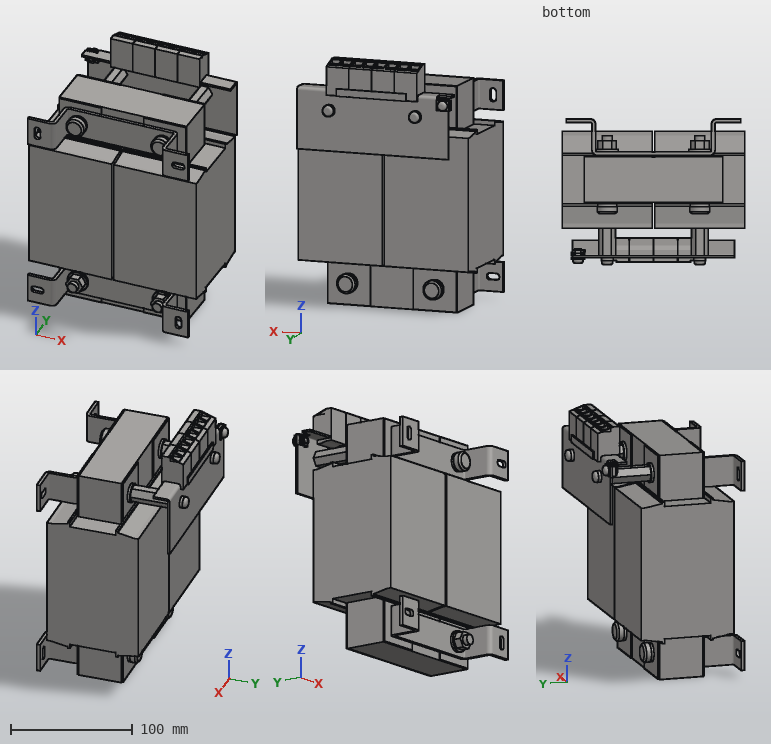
import cadquery as cq
import math


yoke_length = 114.0
yoke_depth = 37.4
yoke_height = 38.9
core_height = 190.0
cheek_length = yoke_length / 3
cheek_thickness = 1.3
cheek_inset = 0.5
cheek_face = yoke_depth / 2 + cheek_thickness

coil_span = 150.0
coil_gap = 2.0
coil_depth = 79.9
coil_shoulder = 36.1
ridge_foot = 21.9
ridge_rise = 2.5
lip_rise = 3.8

bolt_offset = 38.0
lower_bolt_z = 19.0
upper_bolt_z = core_height - lower_bolt_z
washer_radius = 7.9
washer_thickness = 2.1
head_radius = 8.0
front_head_height = 6.5
rear_head_height = 6.0
head_chamfer = 1.7
flange_radius = 9.0
nut_flats = 13.2
nut_height = 6.8
stud_radius = 4.2
stud_reach = 4.2

sheet = 3.0
bracket_span = 143.6
bracket_height = 24.9
bracket_depth = 30.0
leg_span = 101.1
inner_bend = 1.3
outer_bend = inner_bend + sheet
slot_length = 11.3
slot_width = 5.5
slot_offset = 63.0
foot_face = -(cheek_face + bracket_depth)

spacer_radius = 8.0
standoff_flats = 12.1
plate_span = 133.2
plate_thickness = 1.7
plate_inner_bend = 1.0
plate_rear = 64.2
plate_bottom = 136.8
plate_top = 188.9
flange_front = 49.7
screw_washer_radius = 4.9
screw_washer_thickness = 2.5
screw_head_radius = 4.7
screw_tip = 70.0

terminal_count = 4
terminal_pitch = 20.0
terminal_gap = 0.2
terminal_front = 47.8
terminal_rear = 66.5
terminal_ridge = 53.5
terminal_base = 185.0
terminal_step = 54.0
terminal_heel_front = 57.8
terminal_heel = 184.0
terminal_back_top = 207.8
terminal_top = 212.5
entry_width = 8.0
entry_spacing = 9.8
entry_front = 55.0
entry_rear = 62.5
entry_floor = 208.6
lip_length = 61.2
lip_thickness = 1.3
lip_bottom = 184.0
lip_top = 190.2

clamp_x = -62.0
clamp_z = 181.9
clamp_width = 11.3
clamp_height = 8.3
clamp_wall = 1.0
notch_front = 57.5
clamp_front = 59.5
clamp_nut_thickness = 1.7
clamp_nut_flats = 8.3
clamp_screw_radius = 2.5
clamp_screw_front = 57.0
clamp_washer_thickness = 1.0
clamp_head_radius = 4.2
clamp_head_tip = 68.8


def box(x_range, y_range, z_range):
    """Block between the given limits on each axis."""
    (x0, x1), (y0, y1), (z0, z1) = x_range, y_range, z_range
    return cq.Workplane("XY").box(x1 - x0, y1 - y0, z1 - z0, centered=False).translate((x0, y0, z0))


def rear_plane(x, y, z):
    """Plane whose normal points to the rear (+Y)."""
    return cq.Workplane(cq.Plane(origin=(x, y, z), xDir=(1, 0, 0), normal=(0, 1, 0)))


def front_plane(x, y, z):
    """Plane whose normal points to the front (-Y)."""
    return cq.Workplane(cq.Plane(origin=(x, y, z), xDir=(1, 0, 0), normal=(0, -1, 0)))


def extrude_along_x(points, x_start, length):
    """Prism along +X from an outline of (y, z) points."""
    return cq.Workplane("YZ").polyline(points).close().extrude(length).translate((x_start, 0, 0))


def across_corners(flats):
    """Corner-to-corner width of a hexagon with the given width across flats."""
    return flats / math.cos(math.pi / 6)


def make_yoke(bottom):
    """Yoke with raised cheeks near both ends, set in slightly from its outer edges."""
    top = bottom + yoke_height
    end = yoke_length / 2
    yoke = box((-end, end), (-yoke_depth / 2, yoke_depth / 2), (bottom, top))
    cheek_z = (bottom + cheek_inset, top - cheek_inset)
    outer = end - cheek_inset
    inner = end - cheek_length
    for cheek_x in ((-outer, -inner), (inner, outer)):
        yoke = yoke.union(box(cheek_x, (-cheek_face, cheek_face), cheek_z))
    return yoke


def make_coil(x_start):
    """One coil; both ends have sloped ridges that flank a channel for the yoke."""
    half = coil_depth / 2
    top = core_height - yoke_height
    corner_profile = [
        (half, top),
        (coil_shoulder, top),
        (ridge_foot, top + ridge_rise),
        (ridge_foot, top + lip_rise),
        (cheek_face, top + lip_rise),
        (cheek_face, top),
    ]
    upper = corner_profile + [(-y, z) for y, z in reversed(corner_profile)]
    lower = [(y, core_height - z) for y, z in reversed(upper)]
    return extrude_along_x(upper + lower, x_start, (coil_span - coil_gap) / 2)


def make_bracket(bolt_z, upright_side):
    """Hat-shaped strap; the foot on upright_side (-1 or 1) has the upright slot."""
    end = bracket_span / 2
    leg = leg_span / 2
    foot_back = foot_face + sheet
    base_front = -cheek_face - sheet
    outline = [
        (-end, foot_face),
        (sheet - leg, foot_face),
        (sheet - leg, base_front),
        (leg - sheet, base_front),
        (leg - sheet, foot_face),
        (end, foot_face),
        (end, foot_back),
        (leg, foot_back),
        (leg, -cheek_face),
        (-leg, -cheek_face),
        (-leg, foot_back),
        (-end, foot_back),
    ]
    strap = cq.Workplane("XY").polyline(outline).close().extrude(bracket_height)
    strap = strap.translate((0, 0, bolt_z - bracket_height / 2))

    def bend_edges(leg_x, y):
        margin = sheet / 4
        selector = cq.selectors.BoxSelector(
            (leg_x - margin, y - margin, bolt_z - bracket_height),
            (leg_x + margin, y + margin, bolt_z + bracket_height),
        )
        return strap.edges("|Z").edges(selector)

    for side in (-1, 1):
        outer_x = side * leg
        inner_x = side * (leg - sheet)
        bends = (
            (outer_x, foot_back, inner_bend),
            (inner_x, foot_face, outer_bend),
            (inner_x, base_front, inner_bend),
            (outer_x, -cheek_face, outer_bend),
        )
        for leg_x, y, radius in bends:
            strap = bend_edges(leg_x, y).fillet(radius)
        angle = 90 if side == upright_side else 0
        slot = front_plane(side * slot_offset, foot_back, bolt_z)
        strap = strap.cut(slot.slot2D(slot_length, slot_width, angle).extrude(sheet))
    return strap


def make_bolt_head(plane, head_height):
    """Washer and chamfered round head standing on the given plane."""
    washer = plane.circle(washer_radius).extrude(washer_thickness)
    head = plane.workplane(offset=washer_thickness).circle(head_radius).extrude(head_height)
    return washer.union(head.faces(cq.selectors.DirectionMinMaxSelector(plane.plane.zDir)).chamfer(head_chamfer))


def make_nut(plane):
    """Round flange, hexagon nut and protruding stud end on the given plane."""
    flange = plane.circle(flange_radius).extrude(washer_thickness)
    nut = plane.polygon(6, across_corners(nut_flats)).extrude(washer_thickness + nut_height)
    stud = plane.circle(stud_radius).extrude(washer_thickness + nut_height + stud_reach)
    return flange.union(nut).union(stud)


def make_domed_head(x, y, z, radius, height):
    """Screw head with a rounded top, rising to the rear."""
    head = rear_plane(x, y, z).circle(radius).extrude(height)
    return head.faces(">Y").edges().fillet(height * 0.7)


def make_standoff(x):
    """Spacer, hexagonal post and rear screw carrying the terminal plate."""
    plate_front = plate_rear - plate_thickness
    spacer = rear_plane(x, cheek_face, upper_bolt_z).circle(spacer_radius).extrude(washer_thickness)
    post = rear_plane(x, cheek_face, upper_bolt_z).polygon(6, across_corners(standoff_flats))
    washer = rear_plane(x, plate_rear, upper_bolt_z).circle(screw_washer_radius).extrude(screw_washer_thickness)
    head_seat = plate_rear + screw_washer_thickness
    head = make_domed_head(x, head_seat, upper_bolt_z, screw_head_radius, screw_tip - head_seat)
    return spacer.union(post.extrude(plate_front - cheek_face)).union(washer).union(head)


def make_carrier():
    """L-shaped plate with a notch in its flange for the earth clamp."""
    half = plate_span / 2
    plate_front = plate_rear - plate_thickness
    outline = [
        (plate_front, plate_bottom),
        (plate_rear, plate_bottom),
        (plate_rear, plate_top),
        (flange_front, plate_top),
        (flange_front, plate_top - plate_thickness),
        (plate_front, plate_top - plate_thickness),
    ]
    carrier = extrude_along_x(outline, -half, plate_span)
    carrier = carrier.edges("|X").edges(">Y and >Z").fillet(plate_inner_bend + plate_thickness)
    inner_corner = cq.selectors.NearestToPointSelector((0, plate_front, plate_top - plate_thickness))
    carrier = carrier.edges("|X").edges(inner_corner).fillet(plate_inner_bend)
    notch_end = clamp_x + clamp_width / 2
    notch = box((-half, notch_end), (notch_front, plate_rear), (plate_top - plate_thickness, plate_top))
    return carrier.cut(notch)


def make_terminal(x):
    """One terminal block with two wire entries in its sloping rear top."""
    profile = [
        (terminal_front, terminal_base),
        (terminal_step, terminal_base),
        (terminal_heel_front, terminal_heel),
        (terminal_rear, terminal_heel),
        (terminal_rear, terminal_back_top),
        (terminal_ridge, terminal_top),
        (terminal_front, terminal_top),
    ]
    width = terminal_pitch - terminal_gap
    block = extrude_along_x(profile, x - width / 2, width)
    for side in (-1, 1):
        entry_x = x + side * entry_spacing / 2
        x_range = (entry_x - entry_width / 2, entry_x + entry_width / 2)
        block = block.cut(box(x_range, (entry_front, entry_rear), (entry_floor, terminal_top)))
    return block


def make_terminal_strip():
    """Row of terminals with a thin retaining lip low on the rear face."""
    half = terminal_count * terminal_pitch / 2
    lip_x = (-lip_length / 2, lip_length / 2)
    strip = box(lip_x, (terminal_rear, terminal_rear + lip_thickness), (lip_bottom, lip_top))
    for index in range(terminal_count):
        strip = strip.union(make_terminal((index + 0.5) * terminal_pitch - half))
    return strip


def make_earth_clamp():
    """U-shaped clamp, screw and nut gripping the carrier's left end."""
    x_range = (clamp_x - clamp_width / 2, clamp_x + clamp_width / 2)
    z_range = (clamp_z - clamp_height / 2, clamp_z + clamp_height / 2)
    plate_front = plate_rear - plate_thickness
    clamp = box(x_range, (clamp_front, plate_front), z_range)
    mouth_x = (x_range[0] + clamp_wall, x_range[1] - clamp_wall)
    clamp = clamp.cut(box(mouth_x, (clamp_front + clamp_wall, plate_front), z_range))
    nut = front_plane(clamp_x, clamp_front, clamp_z).polygon(6, across_corners(clamp_nut_flats))
    screw = front_plane(clamp_x, plate_front, clamp_z).circle(clamp_screw_radius)
    washer = box(x_range, (plate_rear, plate_rear + clamp_washer_thickness), z_range)
    head_seat = plate_rear + clamp_washer_thickness
    head = make_domed_head(clamp_x, head_seat, clamp_z, clamp_head_radius, clamp_head_tip - head_seat)
    clamp = clamp.union(nut.extrude(clamp_nut_thickness))
    clamp = clamp.union(screw.extrude(plate_front - clamp_screw_front))
    return clamp.union(washer).union(head)


result = make_yoke(0).union(make_yoke(core_height - yoke_height))
result = result.union(make_coil(-coil_span / 2)).union(make_coil(coil_gap / 2))
result = result.union(make_bracket(lower_bolt_z, 1)).union(make_bracket(upper_bolt_z, -1))

bracket_face = -cheek_face - sheet
for bolt_x in (-bolt_offset, bolt_offset):
    result = result.union(make_nut(front_plane(bolt_x, bracket_face, lower_bolt_z)))
    result = result.union(make_bolt_head(rear_plane(bolt_x, cheek_face, lower_bolt_z), rear_head_height))
    result = result.union(make_bolt_head(front_plane(bolt_x, bracket_face, upper_bolt_z), front_head_height))
    result = result.union(make_standoff(bolt_x))

result = result.union(make_carrier()).union(make_terminal_strip()).union(make_earth_clamp())